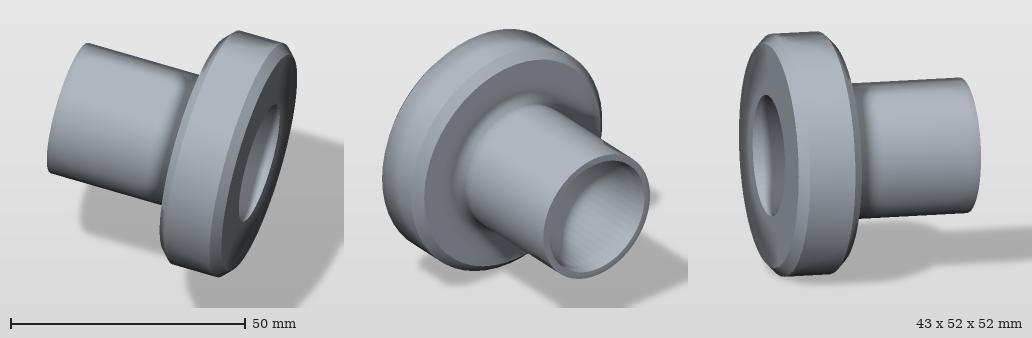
import cadquery as cq

total_length = 43.0
flange_diameter = 52.0
flange_thickness = 14.0
tube_diameter = 29.0
bore_diameter = 26.0
edge_chamfer = 2.0
root_fillet = 2.0

tube_length = total_length - flange_thickness


def cylinder_along_x(diameter, start, length):
    """Solid cylinder on the X axis, beginning at x = start."""
    return cq.Workplane("YZ", origin=(start, 0, 0)).circle(diameter / 2).extrude(length)


flange = cylinder_along_x(flange_diameter, tube_length, flange_thickness)
flange = flange.edges("%CIRCLE").chamfer(edge_chamfer)

tube = cylinder_along_x(tube_diameter, 0, tube_length)
root_edge = cq.selectors.RadiusNthSelector(0)
body = flange.union(tube)
body = body.faces("<X[1]").edges(root_edge).fillet(root_fillet)

result = body.cut(cylinder_along_x(bore_diameter, 0, total_length))